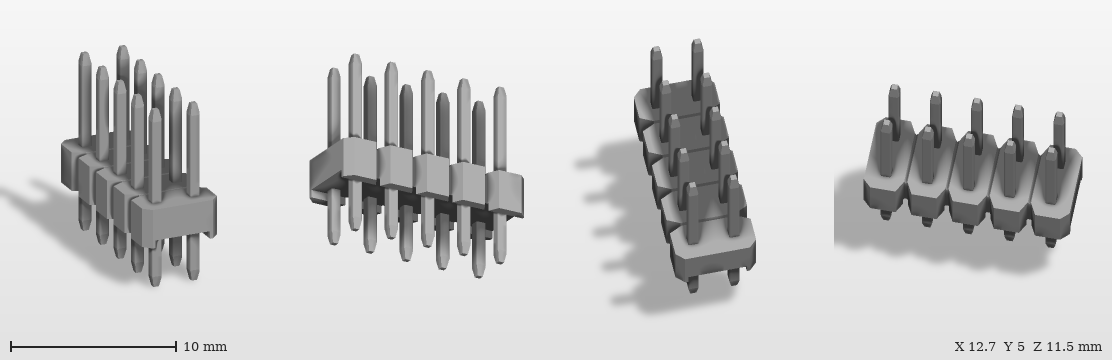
import cadquery as cq

columns = 5
rows = 2
pitch = 2.54

body_length = columns * pitch
body_width = 5.0
body_height = 2.5
corner_chamfer = 0.5

notch_mouth = 0.99
notch_depth = 0.77
waist_gap = 0.2
groove_depth = 0.18

foot_width = 0.69
recess_height = 0.5

pin_size = 0.65
pin_edge_radius = 0.1
pin_above_body = 6.01
pin_below_body = 3.0
tip_size = 0.35
tip_height = 0.72

pin_length = pin_below_body + body_height + pin_above_body
column_positions = [(i - (columns - 1) / 2) * pitch for i in range(columns)]
row_positions = [(j - (rows - 1) / 2) * pitch for j in range(rows)]
joint_positions = [x + pitch / 2 for x in column_positions[:-1]]


def make_side_notch(x, side):
    """Tapered vertical notch in the long side (+1 or -1) with a flat waist."""
    outer_y = side * body_width / 2
    waist_y = side * (body_width / 2 - notch_depth)
    outline = [
        (x - notch_mouth / 2, outer_y),
        (x + notch_mouth / 2, outer_y),
        (x + waist_gap / 2, waist_y),
        (x - waist_gap / 2, waist_y),
    ]
    return cq.Workplane("XY").polyline(outline).close().extrude(body_height)


def make_top_groove(x):
    """V groove across the top face, joining the two waists of a joint."""
    outline = [
        (x - waist_gap / 2, body_height),
        (x + waist_gap / 2, body_height),
        (x, body_height - groove_depth),
    ]
    return cq.Workplane("XZ").polyline(outline).close().extrude(body_width / 2, both=True)


def make_body():
    """Chamfered block standing on Z = 0, with notches, grooves and recess."""
    body = (
        cq.Workplane("XY")
        .box(body_length, body_width, body_height, centered=(True, True, False))
        .edges("|Z")
        .chamfer(corner_chamfer)
    )
    for x in joint_positions:
        for side in (-1, 1):
            body = body.cut(make_side_notch(x, side))
        body = body.cut(make_top_groove(x))
    recess = cq.Workplane("XY").box(
        body_length,
        body_width - 2 * foot_width,
        recess_height,
        centered=(True, True, False),
    )
    return body.cut(recess)


def make_tapered_bar(axis_plane):
    """Bar along Z whose two ends narrow from the pin size to the tip size."""
    half_pin = pin_size / 2
    half_tip = tip_size / 2
    outline = [
        (-half_tip, 0),
        (half_tip, 0),
        (half_pin, tip_height),
        (half_pin, pin_length - tip_height),
        (half_tip, pin_length),
        (-half_tip, pin_length),
        (-half_pin, pin_length - tip_height),
        (-half_pin, tip_height),
    ]
    return cq.Workplane(axis_plane).polyline(outline).close().extrude(half_pin, both=True)


def make_pin():
    """Square pin with rounded long edges and a blunt pyramid at each end."""
    shank = (
        cq.Workplane("XY")
        .box(pin_size, pin_size, pin_length, centered=(True, True, False))
        .edges("|Z")
        .fillet(pin_edge_radius)
    )
    return shank.intersect(make_tapered_bar("XZ")).intersect(make_tapered_bar("YZ"))


result = make_body()
pin = make_pin()
for x in column_positions:
    for y in row_positions:
        result = result.union(pin.translate((x, y, -pin_below_body)))